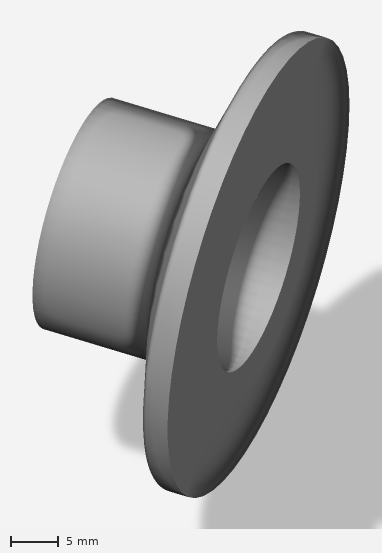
import cadquery as cq
import math

length = 20.5
bore_diameter = 23.0
tube_diameter = 25.4
flange_diameter = 50.5
rim_width = 2.85
cone_angle = 20.0
neck_fillet = 1.9
rim_fillet = 0.75

bore_radius = bore_diameter / 2
tube_radius = tube_diameter / 2
flange_radius = flange_diameter / 2
rim_start = length - rim_width
cone_depth = (flange_radius - tube_radius) * math.tan(math.radians(cone_angle))
neck_position = rim_start - cone_depth


def make_body():
    """Revolve the tube, conical flange and through bore as one profile."""
    profile = [
        (0, bore_radius),
        (0, tube_radius),
        (neck_position, tube_radius),
        (rim_start, flange_radius),
        (length, flange_radius),
        (length, bore_radius),
    ]
    return cq.Workplane("XY").polyline(profile).close().revolve(360, (0, 0, 0), (1, 0, 0))


def round_circle(body, x, fillet_radius):
    """Round the circular edge lying in the plane at the given X position."""
    tolerance = 0.005
    slab = cq.selectors.BoxSelector(
        (x - tolerance, -flange_diameter, -flange_diameter),
        (x + tolerance, flange_diameter, flange_diameter),
    )
    return body.edges("%CIRCLE").edges(slab).fillet(fillet_radius)


result = make_body()
result = round_circle(result, neck_position, neck_fillet)
result = round_circle(result, rim_start, rim_fillet)